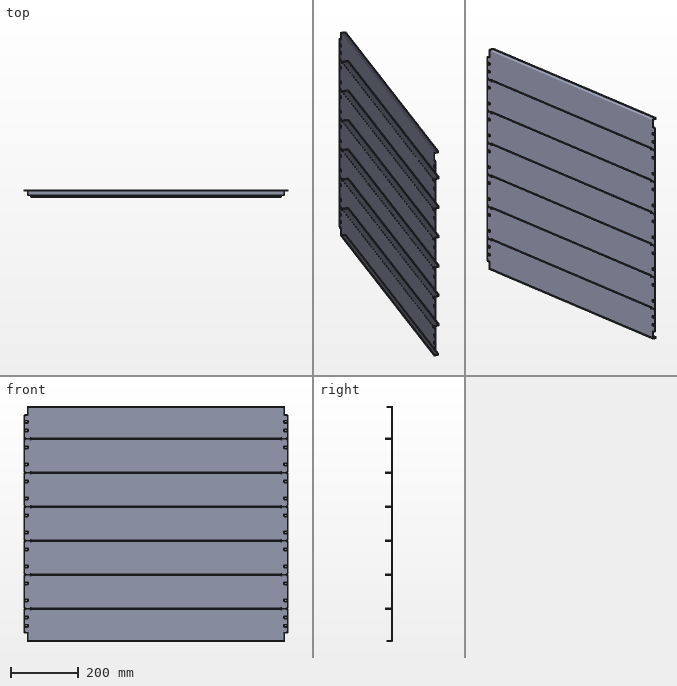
import cadquery as cq
import math

width = 776.5
overall_height = 690.0
middle_count = 5
end_shortfall = 5.0
sheet = 1.5
bend_radius = 1.5
corner_radius = 6.0

outer_flange_depth = 15.0
outer_flange_inset = 10.0
joint_flange_extra = 5.2
joint_flange_depth = outer_flange_depth + joint_flange_extra
joint_flange_inset = 19.5
flange_corner_radius = 5.05

pitch = (overall_height + 2 * end_shortfall) / (middle_count + 2)
end_height = pitch - end_shortfall
end_step = 24.0

slot_length = 11.0
slot_width = 6.0
slot_inset = 6.5
slot_offset = pitch / 4


def sheet_plate(plate_width, z_low, z_high):
    """Flat plate of sheet thickness with its back on Y = 0."""
    height = z_high - z_low
    return cq.Workplane("XY").box(plate_width, sheet, height).translate((0, -sheet / 2, (z_low + z_high) / 2))


def bent_flange(panel, inset, depth, z_edge, inward):
    """Bend the panel edge at z_edge toward -Y; inward (+1 or -1) is the Z direction into the panel."""
    length = width - 2 * inset
    outer_radius = sheet + bend_radius
    z_bend = z_edge + inward * outer_radius
    diagonal = math.sqrt(0.5)

    edge_strip = cq.Workplane("XY").box(length, 2 * sheet, 2 * outer_radius).translate((0, -sheet / 2, z_edge))
    profile = (
        cq.Workplane("YZ", origin=(-length / 2, 0, 0))
        .moveTo(0, z_bend)
        .threePointArc(
            (-outer_radius * (1 - diagonal), z_bend - inward * outer_radius * diagonal),
            (-outer_radius, z_edge),
        )
        .lineTo(-depth, z_edge)
        .lineTo(-depth, z_edge + inward * sheet)
        .lineTo(-outer_radius, z_edge + inward * sheet)
        .threePointArc(
            (-outer_radius + bend_radius * diagonal, z_bend - inward * bend_radius * diagonal),
            (-sheet, z_bend),
        )
        .close()
        .extrude(length)
        .edges("|Z and <Y")
        .fillet(flange_corner_radius)
    )
    return panel.cut(edge_strip).union(profile)


def cut_slots(panel, heights):
    """Horizontal mounting slots at the given heights, along both mounting edges."""
    slot_x = width / 2 - slot_inset
    centres = [(side * slot_x, z) for z in heights for side in (-1, 1)]
    slots = cq.Workplane("XZ").pushPoints(centres).slot2D(slot_length, slot_width).extrude(sheet)
    return panel.cut(slots)


def make_middle_panel(z_low):
    """Panel with a deep flange along both long edges."""
    z_high = z_low + pitch
    panel = sheet_plate(width, z_low, z_high).edges("|Y").fillet(corner_radius)
    panel = bent_flange(panel, joint_flange_inset, joint_flange_depth, z_low, 1)
    panel = bent_flange(panel, joint_flange_inset, joint_flange_depth, z_high, -1)
    return cut_slots(panel, [z_low + slot_offset, z_high - slot_offset])


def make_top_panel(z_low):
    """Panel with a deep flange below and a shallow, longer flange along its top."""
    z_high = z_low + end_height
    panel = sheet_plate(width, z_low, z_high - end_step).edges("|Y").fillet(corner_radius)
    panel = panel.union(sheet_plate(width - 2 * outer_flange_inset, z_low, z_high))
    panel = bent_flange(panel, joint_flange_inset, joint_flange_depth, z_low, 1)
    panel = bent_flange(panel, outer_flange_inset, outer_flange_depth, z_high, -1)
    return cut_slots(panel, [z_low + slot_offset, z_low + 2 * slot_offset])


stack_top = middle_count * pitch / 2
middle_panels = [make_middle_panel(-stack_top + index * pitch) for index in range(middle_count)]
top_panel = make_top_panel(stack_top)
bottom_panel = top_panel.mirror("XY")

result = cq.Compound.makeCompound(
    [bottom_panel.val(), *[panel.val() for panel in middle_panels], top_panel.val()]
)